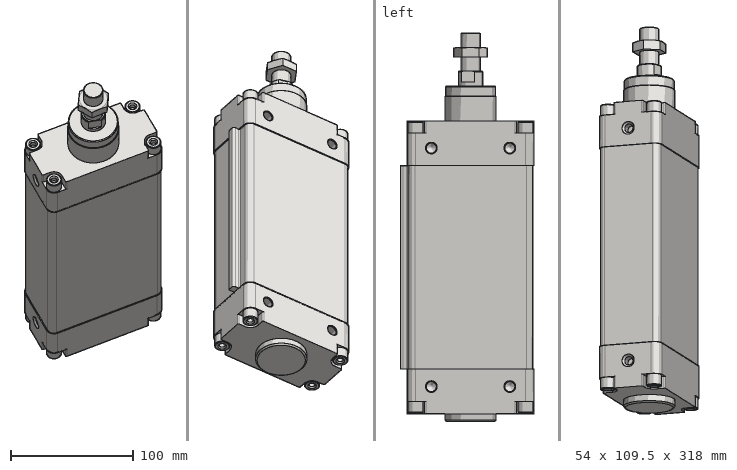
import cadquery as cq
import math

TOTAL_HEIGHT = 318.0
BOSS_HEIGHT = 6.5
CAP_HEIGHT = 36.5
BARREL_LENGTH = 166.5
COLLAR_HEIGHT = 20.5
COLLAR_RING_HEIGHT = 8.3

LOWER_CAP_BASE = BOSS_HEIGHT
BARREL_BASE = LOWER_CAP_BASE + CAP_HEIGHT
UPPER_CAP_BASE = BARREL_BASE + BARREL_LENGTH
COLLAR_BASE = UPPER_CAP_BASE + CAP_HEIGHT
RING_BASE = COLLAR_BASE + COLLAR_HEIGHT
ROD_BASE = RING_BASE + COLLAR_RING_HEIGHT

SCREW_EDGE_DISTANCE = 7.0
CAP_WIDTH = 54.0
CAP_DEPTH = 104.0
CAP_CORNER_RADIUS = SCREW_EDGE_DISTANCE
BARREL_INSET = 1.0
BARREL_CORNER_RADIUS = 5.5

COLLAR_DIAMETER = 42.0
RING_DIAMETER = 41.0
COLLAR_CHAMFER = (COLLAR_DIAMETER - RING_DIAMETER) / 2
BOSS_CHAMFER = 1.3
RING_CHAMFER = 0.8

OVERALL_DEPTH = 109.5
RAIL_LEFT = -13.5
RAIL_WIDTH = 6.5
RAIL_TOP_Y = OVERALL_DEPTH - CAP_DEPTH / 2
RAIL_EDGE_RADIUS = 2.0
RAIL_ROOT_RADIUS = 1.3

POCKET_DIAMETER = 15.0
POCKET_DEPTH = 10.0
POCKET_MOUTH_RADIUS = 1.0
SCREW_HEAD_DIAMETER = 12.5
SCREW_HEAD_HEIGHT = 9.2
SCREW_HEAD_CHAMFER = 0.5
SOCKET_MOUTH_DIAMETER = 7.0
SOCKET_DIAMETER = 4.8
SOCKET_DEPTH = 4.8

PORT_EDGE_DISTANCE = 22.3
FRONT_PORT_MOUTH_DIAMETER = 10.5
FRONT_PORT_DIAMETER = 7.0
FRONT_PORT_DEPTH = 9.5
SIDE_PORT_MOUTH_DIAMETER = 9.5
SIDE_PORT_DIAMETER = 8.3
SIDE_PORT_DEPTH = 9.5
SIDE_PORT_SPACING = 64.2
DRILL_TIP_HALF_ANGLE = 59

ROD_DIAMETER = 20.0
ROD_SHOULDER_Z = 286.8
THREAD_DIAMETER = 16.0
THREAD_CHAMFER = 0.48
ROD_CHAMFER = 0.5
FLAT_HEIGHT = 9.0
FLATS_ACROSS = 17.0
FLATS_ANGLE = -15

NUT_SIDES = 6
NUT_ACROSS_FLATS = 24.0
NUT_HEIGHT = 8.0
NUT_BASE = 298.3
NUT_CROWN_DIAMETER = 23.2
NUT_CROWN_SLOPE = 15


def cylinder(diameter, base, height):
    return cq.Workplane("XY").workplane(offset=base).circle(diameter / 2).extrude(height)


def rounded_block(width, depth, corner_radius, base, height):
    block = cq.Workplane("XY").workplane(offset=base).rect(width, depth).extrude(height)
    return block.edges("|Z").fillet(corner_radius)


def corner_positions():
    x = CAP_WIDTH / 2 - SCREW_EDGE_DISTANCE
    y = CAP_DEPTH / 2 - SCREW_EDGE_DISTANCE
    return [(sx * x, sy * y) for sx in (-1, 1) for sy in (-1, 1)]


def screw_pocket(x, y, base):
    """Round pocket that opens straight out through both sides of a cap corner."""
    size = POCKET_DIAMETER
    shift_x = math.copysign(size / 2, x)
    shift_y = math.copysign(size / 2, y)
    pocket = cylinder(size, base, POCKET_DEPTH)
    slot = cq.Workplane("XY").workplane(offset=base).rect(size, size).extrude(POCKET_DEPTH)
    pocket = pocket.union(slot.translate((shift_x, 0, 0)))
    pocket = pocket.union(slot.translate((0, shift_y, 0)))
    return pocket.translate((x, y, 0))


def pocket_mouth_edges(x, y):
    """Places of the two upright edges where a pocket breaks out through the cap sides."""
    radius = POCKET_DIAMETER / 2
    side_x = math.copysign(CAP_WIDTH / 2, x)
    side_y = math.copysign(CAP_DEPTH / 2, y)
    return [(side_x, y - math.copysign(radius, y)), (x - math.copysign(radius, x), side_y)]


def drilled_hole(mouth_diameter, diameter, depth, tip_length):
    """Cutter for a hole with a 45-degree countersink, running along +Z from its mouth at z = 0."""
    mouth = mouth_diameter / 2
    radius = diameter / 2
    profile = [(0, 0), (mouth, 0), (radius, mouth - radius), (radius, depth), (0, depth + tip_length)]
    return cq.Workplane("XZ").polyline(profile).close().revolve(360, (0, 0), (0, 1))


def drill_tip_length(diameter):
    return diameter / 2 / math.tan(math.radians(DRILL_TIP_HALF_ANGLE))


def screw_head():
    """Socket head standing on the pocket floor at z = 0."""
    head = cylinder(SCREW_HEAD_DIAMETER, 0, SCREW_HEAD_HEIGHT).faces(">Z").chamfer(SCREW_HEAD_CHAMFER)
    tip = drill_tip_length(SOCKET_DIAMETER)
    socket = drilled_hole(SOCKET_MOUTH_DIAMETER, SOCKET_DIAMETER, SOCKET_DEPTH, tip)
    return head.cut(socket.mirror("XY").translate((0, 0, SCREW_HEAD_HEIGHT)))


def make_cap():
    """End cap with its outer end up and its inner end at z = 0."""
    cap = rounded_block(CAP_WIDTH, CAP_DEPTH, CAP_CORNER_RADIUS, 0, CAP_HEIGHT)
    floor = CAP_HEIGHT - POCKET_DEPTH
    for x, y in corner_positions():
        cap = cap.cut(screw_pocket(x, y, floor))
        for mouth_x, mouth_y in pocket_mouth_edges(x, y):
            middle = (mouth_x, mouth_y, floor + POCKET_DEPTH / 2)
            mouth_edge = cap.edges("|Z").edges(cq.selectors.NearestToPointSelector(middle))
            cap = mouth_edge.fillet(POCKET_MOUTH_RADIUS)
        cap = cap.union(screw_head().translate((x, y, floor)))
    port_z = CAP_HEIGHT - PORT_EDGE_DISTANCE
    front_port = drilled_hole(FRONT_PORT_MOUTH_DIAMETER, FRONT_PORT_DIAMETER, FRONT_PORT_DEPTH, 0)
    front_port = front_port.rotate((0, 0, 0), (1, 0, 0), -90)
    cap = cap.cut(front_port.translate((0, -CAP_DEPTH / 2, port_z)))
    tip = drill_tip_length(SIDE_PORT_DIAMETER)
    side_port = drilled_hole(SIDE_PORT_MOUTH_DIAMETER, SIDE_PORT_DIAMETER, SIDE_PORT_DEPTH, tip)
    side_port = side_port.rotate((0, 0, 0), (0, 1, 0), 90)
    for y in (-SIDE_PORT_SPACING / 2, SIDE_PORT_SPACING / 2):
        cap = cap.cut(side_port.translate((-CAP_WIDTH / 2, y, port_z)))
    return cap


def make_barrel():
    """Barrel body with a rail along its +Y side, rounded at its outer left edge and at its roots."""
    depth = CAP_DEPTH - 2 * BARREL_INSET
    width = CAP_WIDTH - 2 * BARREL_INSET
    barrel = rounded_block(width, depth, BARREL_CORNER_RADIUS, BARREL_BASE, BARREL_LENGTH)
    rail = cq.Workplane("XY").box(RAIL_WIDTH, RAIL_TOP_Y, BARREL_LENGTH, centered=False)
    rail = rail.edges("|Z and >Y and <X").fillet(RAIL_EDGE_RADIUS)
    barrel = barrel.union(rail.translate((RAIL_LEFT, 0, BARREL_BASE)))
    for root_x in (RAIL_LEFT, RAIL_LEFT + RAIL_WIDTH):
        middle = (root_x, depth / 2, BARREL_BASE + BARREL_LENGTH / 2)
        root = barrel.edges("|Z").edges(cq.selectors.NearestToPointSelector(middle))
        barrel = root.fillet(RAIL_ROOT_RADIUS)
    return barrel


def make_housing():
    """Barrel, both end caps with their screws, the boss below and the stepped collar above."""
    cap = make_cap()
    upper_cap = cap.translate((0, 0, UPPER_CAP_BASE))
    lower_cap = cap.mirror("XY").translate((0, 0, BARREL_BASE))
    boss = cylinder(COLLAR_DIAMETER, 0, BOSS_HEIGHT).faces("<Z").chamfer(BOSS_CHAMFER)
    collar = cylinder(COLLAR_DIAMETER, COLLAR_BASE, COLLAR_HEIGHT).faces(">Z").chamfer(COLLAR_CHAMFER)
    ring = cylinder(RING_DIAMETER, RING_BASE, COLLAR_RING_HEIGHT).faces(">Z").chamfer(RING_CHAMFER)
    housing = make_barrel()
    for piece in (upper_cap, lower_cap, boss, collar, ring):
        housing = housing.union(piece)
    return housing


def make_rod():
    """Rod standing on the collar ring, with two wrench flats below its threaded end."""
    shank = cylinder(ROD_DIAMETER, ROD_BASE, ROD_SHOULDER_Z - ROD_BASE).faces(">Z").chamfer(ROD_CHAMFER)
    keep = cq.Workplane("XY").box(FLATS_ACROSS, 2 * ROD_DIAMETER, FLAT_HEIGHT)
    flats = cylinder(2 * ROD_DIAMETER, -FLAT_HEIGHT / 2, FLAT_HEIGHT).cut(keep)
    flats = flats.rotate((0, 0, 0), (0, 0, 1), FLATS_ANGLE)
    shank = shank.cut(flats.translate((0, 0, ROD_SHOULDER_Z - FLAT_HEIGHT / 2)))
    thread = cylinder(THREAD_DIAMETER, ROD_SHOULDER_Z, TOTAL_HEIGHT - ROD_SHOULDER_Z)
    thread = thread.faces(">Z").chamfer(THREAD_CHAMFER)
    return shank.union(thread)


def nut_crown():
    """Envelope whose sloping top rim trims the upper corners of the nut."""
    crown_radius = NUT_CROWN_DIAMETER / 2
    outer_radius = NUT_ACROSS_FLATS
    drop = (outer_radius - crown_radius) * math.tan(math.radians(NUT_CROWN_SLOPE))
    profile = [
        (0, 0),
        (outer_radius, 0),
        (outer_radius, NUT_HEIGHT - drop),
        (crown_radius, NUT_HEIGHT),
        (0, NUT_HEIGHT),
    ]
    return cq.Workplane("XZ").polyline(profile).close().revolve(360, (0, 0), (0, 1))


def make_nut():
    """Hexagon nut with two of its flats facing along X."""
    half_corner_angle = 180 / NUT_SIDES
    corner_diameter = NUT_ACROSS_FLATS / math.cos(math.radians(half_corner_angle))
    nut = cq.Workplane("XY").polygon(NUT_SIDES, corner_diameter).extrude(NUT_HEIGHT)
    nut = nut.rotate((0, 0, 0), (0, 0, 1), half_corner_angle)
    nut = nut.intersect(nut_crown())
    nut = nut.cut(cylinder(THREAD_DIAMETER, 0, NUT_HEIGHT))
    return nut.translate((0, 0, NUT_BASE))


housing = make_housing()
rod = make_rod()
nut = make_nut()

result = cq.Compound.makeCompound([housing.val(), rod.val(), nut.val()])